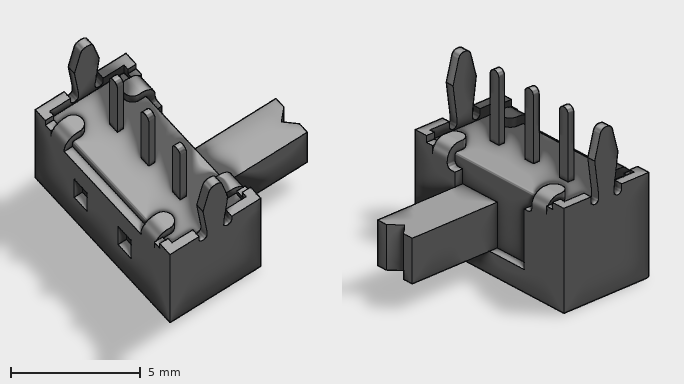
import cadquery as cq

length = 8.6
width = 4.4
rim_height = 4.7
sheet = 0.4
bottom_radius = 0.2
step_height = 4.4
step_half_length = 3.65
recess_height = 3.98

tab_width = 0.85
tab_offset = 2.87
tab_reach = 1.195
tab_bend_radius = 0.645

base_height = rim_height - sheet
base_edge_radius = 0.1

tip_height = 7.5
pin_pitch = 2.0
pin_width = 0.5
pin_thickness = 0.3

tang_neck_half_width = 0.4
tang_max_half_width = 0.6
tang_tip_half_width = 0.26
tang_widest_height = 6.2
tang_tip_radius = 0.29
relief_width = 0.39
relief_bottom = base_height

window_width = 0.825
window_height = 1.2
window_bottom = 1.64
window_offset = 1.4

lever_size = 2.0
lever_bottom = 1.1
lever_reach = 4.0
lever_notch_depth = 0.5
slot_half_length = lever_size
slot_shoulder_radius = 0.22

inner_length = length - 2 * sheet
inner_width = width - 2 * sheet
long_wall_y = (width - sheet) / 2
end_wall_x = (length - sheet) / 2
tab_inner_edge = tab_offset - tab_width / 2
bend_start_height = rim_height - tab_bend_radius
overlap = sheet / 2


def box(x_size, y_size, z_size, x, y, z):
    """Box centred on x and y, standing on height z."""
    block = cq.Workplane("XY").box(x_size, y_size, z_size, centered=(True, True, False))
    return block.translate((x, y, z))


def make_body():
    """Shell with rounded bottom edges, filled by the round-edged base."""
    body = box(length, width, rim_height, 0, 0, 0).edges("<Z").fillet(bottom_radius)
    cavity_floor = base_height - base_edge_radius
    body = body.cut(box(inner_length, inner_width, rim_height, 0, 0, cavity_floor))
    base = box(inner_length, inner_width, base_height - sheet, 0, 0, sheet)
    base = base.edges(">Z or |Z").fillet(base_edge_radius)
    return body.union(base)


def trim_long_walls(body):
    """Lower both long walls outside the tabs, below the tab bends and between the tabs."""
    for y in (-long_wall_y, long_wall_y):
        body = body.cut(box(2 * step_half_length, sheet, rim_height, 0, y, step_height))
        body = body.cut(box(2 * tab_inner_edge, sheet, rim_height, 0, y, recess_height))
        for x in (-tab_offset, tab_offset):
            body = body.cut(box(tab_width, sheet, rim_height, x, y, bend_start_height))
    return body


def cut_lever_slot(body):
    """Open slot in the back wall, with a wider, round-cornered shoulder at its top."""
    slot = box(2 * slot_half_length, sheet, rim_height, 0, long_wall_y, lever_bottom)
    shoulder_bottom = recess_height - slot_shoulder_radius
    shoulder = box(2 * tab_inner_edge, sheet, rim_height, 0, long_wall_y, shoulder_bottom)
    shoulder = shoulder.edges("|Y and <Z").fillet(slot_shoulder_radius)
    return body.cut(slot).cut(shoulder)


def cut_windows(body):
    for x in (-window_offset, window_offset):
        body = body.cut(box(window_width, sheet, window_height, x, -long_wall_y, window_bottom))
    return body


def make_tab():
    """Front tab: bent over the base by a quarter turn, with a rounded tip."""
    outer_y = -width / 2
    inner_y = outer_y + sheet
    bend_y = outer_y + tab_bend_radius
    tip_y = outer_y + tab_reach
    tip_radius = tab_width / 2
    strip = (
        cq.Workplane("YZ")
        .moveTo(outer_y, bend_start_height)
        .radiusArc((bend_y, rim_height), tab_bend_radius)
        .lineTo(tip_y, rim_height)
        .lineTo(tip_y, base_height)
        .lineTo(bend_y, base_height)
        .radiusArc((inner_y, bend_start_height), sheet - tab_bend_radius)
        .lineTo(inner_y, bend_start_height - overlap)
        .lineTo(outer_y, bend_start_height - overlap)
        .close()
        .extrude(tip_radius, both=True)
    )
    plan = (
        cq.Workplane("XY")
        .moveTo(-tip_radius, outer_y)
        .lineTo(-tip_radius, tip_y - tip_radius)
        .threePointArc((0, tip_y), (tip_radius, tip_y - tip_radius))
        .lineTo(tip_radius, outer_y)
        .close()
        .extrude(rim_height)
    )
    return strip.intersect(plan)


def add_tabs(body):
    front_tab = make_tab()
    back_tab = front_tab.mirror("XZ")
    for x in (-tab_offset, tab_offset):
        body = body.union(front_tab.translate((x, 0, 0)))
        body = body.union(back_tab.translate((x, 0, 0)))
    return body


def make_tang():
    """Spearhead tang with a rounded tip."""
    half_outline = [
        (tang_neck_half_width, relief_bottom - overlap),
        (tang_neck_half_width, rim_height),
        (tang_max_half_width, tang_widest_height),
        (tang_tip_half_width, tip_height),
    ]
    other_half = [(-y, z) for y, z in reversed(half_outline)]
    tang = cq.Workplane("YZ").polyline(half_outline + other_half).close().extrude(sheet / 2, both=True)
    return tang.edges("|X and >Z").fillet(tang_tip_radius)


def make_relief():
    """Cutter for an open slot through an end wall, with a full-round bottom."""
    radius = relief_width / 2
    round_bottom = cq.Workplane("YZ").circle(radius).extrude(sheet / 2, both=True)
    relief = round_bottom.union(box(sheet, relief_width, rim_height, 0, 0, 0))
    return relief.translate((0, 0, relief_bottom + radius))


def add_tangs(body):
    """Tang on each end wall, with a relief slot on both sides."""
    tang = make_tang()
    relief = make_relief()
    relief_y = tang_neck_half_width + relief_width / 2
    for x in (-end_wall_x, end_wall_x):
        for y in (-relief_y, relief_y):
            body = body.cut(relief.translate((x, y, 0)))
        body = body.union(tang.translate((x, 0, 0)))
    return body


def add_pins(body):
    """Row of flat pins with full-round tips."""
    foot = base_height - overlap
    radius = pin_width / 2
    pin = (
        cq.Workplane("XZ")
        .moveTo(-radius, foot)
        .lineTo(-radius, tip_height - radius)
        .threePointArc((0, tip_height), (radius, tip_height - radius))
        .lineTo(radius, foot)
        .close()
        .extrude(pin_thickness / 2, both=True)
    )
    for x in (-pin_pitch, 0, pin_pitch):
        body = body.union(pin.translate((x, 0, 0)))
    return body


def add_lever(body):
    """Lever at the right-hand end of its travel, with a V notch in its free end."""
    root_y = width / 2 - sheet - overlap
    end_y = width / 2 + lever_reach
    middle_x = lever_size / 2
    lever = (
        cq.Workplane("XY", origin=(0, 0, lever_bottom))
        .moveTo(0, root_y)
        .lineTo(lever_size, root_y)
        .lineTo(lever_size, end_y)
        .lineTo(middle_x + lever_notch_depth, end_y)
        .lineTo(middle_x, end_y - lever_notch_depth)
        .lineTo(middle_x - lever_notch_depth, end_y)
        .lineTo(0, end_y)
        .close()
        .extrude(lever_size)
    )
    return body.union(lever)


result = make_body()
result = trim_long_walls(result)
result = cut_lever_slot(result)
result = cut_windows(result)
result = add_tabs(result)
result = add_tangs(result)
result = add_pins(result)
result = add_lever(result)